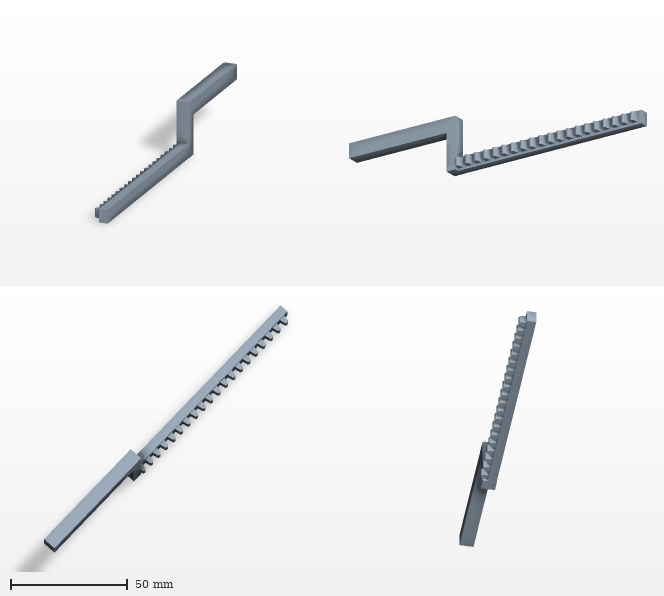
import math
import cadquery as cq

total_width = 7.2
total_length = 148.78
total_height = 25.0

module = 1.5
pitch = math.pi * module
tooth_count = 20
bar_width = 4.0
bar_height = 6.25
bar_length = tooth_count * pitch

handle_width = 6.0
post_depth = 4.5
arm_thickness = 7.0

pad_thickness = 0.15
pad_height = 3.0

tooth_height = total_width - bar_width - pad_thickness
tooth_shoulder_height = 2.6
tooth_root_width = 2.7
tooth_shoulder_width = 1.7
tooth_tip_width = 0.5
tooth_bottom = 1.1
tooth_top = 5.2
first_tooth_y = 3.4


def box(x_min, x_max, y_min, y_max, z_min, z_max):
    """Block between the given limits."""
    size = (x_max - x_min, y_max - y_min, z_max - z_min)
    return cq.Workplane("XY").box(*size, centered=False).translate((x_min, y_min, z_min))


def make_bar():
    return box(0, bar_width, 0, bar_length, 0, bar_height)


def make_handle():
    """Upright post at the end of the bar, with the arm running on from its top."""
    x_min = bar_width - handle_width
    post = box(x_min, bar_width, bar_length, bar_length + post_depth, 0, total_height)
    arm_bottom = total_height - arm_thickness
    arm = box(x_min, bar_width, bar_length, total_length, arm_bottom, total_height)
    return post.union(arm)


def make_pad():
    back = bar_width + pad_thickness
    return box(bar_width, back, bar_length, bar_length + post_depth, 0, pad_height)


def make_tooth(y_center):
    """Tapered tooth with a bevelled tip and a narrow flat crest."""
    half_root = tooth_root_width / 2
    half_shoulder = tooth_shoulder_width / 2
    half_tip = tooth_tip_width / 2
    outline = [
        (0, -half_root),
        (-tooth_shoulder_height, -half_shoulder),
        (-tooth_height, -half_tip),
        (-tooth_height, half_tip),
        (-tooth_shoulder_height, half_shoulder),
        (0, half_root),
    ]
    tooth = cq.Workplane("XY").polyline(outline).close().extrude(tooth_top - tooth_bottom)
    return tooth.translate((0, y_center, tooth_bottom))


result = make_bar().union(make_handle()).union(make_pad())
for index in range(tooth_count):
    result = result.union(make_tooth(first_tooth_y + index * pitch))